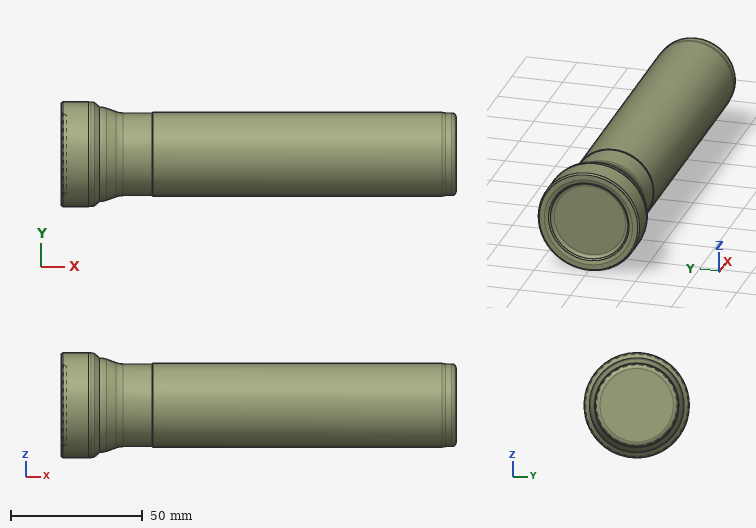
import cadquery as cq
import math

total_length = 150.0
cap_length = 10.4
flange_round_start = 11.2
shoulder_end = 14.5
neck_start = 23.5
shank_start = 34.5
shank_end = 144.6
tail_start = 146.0

cap_radius = 40.0 / 2
flange_radius = 20.0
shoulder_radius = 36.0 / 2
neck_radius = 31.5 / 2
shank_radius = 32.0 / 2

flange_round = 3.2
flange_round_angle = math.radians(27)
flare_round = 7.8
flare_angle = math.radians(20)
tail_round = 1.8
shank_step = 0.3
cap_edge_chamfer = 0.6

recess_mouth_radius = 17.4
recess_lip_radius = 15.9
recess_bevel_depth = 0.5
recess_wall_radius = 15.3
recess_lip_depth = 0.9
recess_floor_round = 1.2
recess_floor_radius = recess_wall_radius - recess_floor_round
recess_depth = recess_lip_depth + recess_floor_round


def round_offset(radius, angle):
    """Axial run and radial drop of an arc that leaves the axis direction and turns by angle."""
    return radius * math.sin(angle), radius * (1 - math.cos(angle))


def revolve_about_x(profile):
    return profile.close().revolve(360, (0, 0, 0), (1, 0, 0))


def make_cap():
    """Disc on the front end of the stem, with a stepped recess in its front face."""
    floor_mid_run, floor_mid_drop = round_offset(recess_floor_round, math.radians(45))

    profile = (
        cq.Workplane("XY")
        .moveTo(recess_depth, 0)
        .lineTo(recess_depth, recess_floor_radius)
        .threePointArc(
            (recess_lip_depth + floor_mid_run, recess_wall_radius - floor_mid_drop),
            (recess_lip_depth, recess_wall_radius),
        )
        .lineTo(recess_bevel_depth, recess_lip_radius)
        .lineTo(0, recess_mouth_radius)
        .lineTo(0, cap_radius - cap_edge_chamfer)
        .lineTo(cap_edge_chamfer, cap_radius)
        .lineTo(cap_length, cap_radius)
        .lineTo(cap_length, 0)
    )
    return revolve_about_x(profile)


def make_stem():
    """Flange, flared neck, shank and rounded tail, turned as one piece."""
    flange_run, flange_drop = round_offset(flange_round, flange_round_angle)
    flange_mid_run, flange_mid_drop = round_offset(flange_round, flange_round_angle / 2)
    flare_run, flare_drop = round_offset(flare_round, flare_angle)
    flare_mid_run, flare_mid_drop = round_offset(flare_round, flare_angle / 2)
    tail_mid_run, tail_mid_drop = round_offset(tail_round, math.radians(45))
    tail_round_start = total_length - tail_round

    profile = (
        cq.Workplane("XY")
        .moveTo(cap_length, 0)
        .lineTo(cap_length, flange_radius)
        .lineTo(flange_round_start, flange_radius)
        .threePointArc(
            (flange_round_start + flange_mid_run, flange_radius - flange_mid_drop),
            (flange_round_start + flange_run, flange_radius - flange_drop),
        )
        .lineTo(shoulder_end, shoulder_radius)
        .threePointArc(
            (shoulder_end + flare_mid_run, shoulder_radius - flare_mid_drop),
            (shoulder_end + flare_run, shoulder_radius - flare_drop),
        )
        .lineTo(neck_start - flare_run, neck_radius + flare_drop)
        .threePointArc(
            (neck_start - flare_mid_run, neck_radius + flare_mid_drop),
            (neck_start, neck_radius),
        )
        .lineTo(shank_start, neck_radius)
        .lineTo(shank_start + shank_step, shank_radius)
        .lineTo(shank_end, shank_radius)
        .lineTo(tail_start, neck_radius)
        .lineTo(tail_round_start, neck_radius)
        .threePointArc(
            (tail_round_start + tail_mid_run, neck_radius - tail_mid_drop),
            (total_length, neck_radius - tail_round),
        )
        .lineTo(total_length, 0)
    )
    return revolve_about_x(profile)


cap = make_cap()
stem = make_stem()

result = cq.Compound.makeCompound([cap.val(), stem.val()])